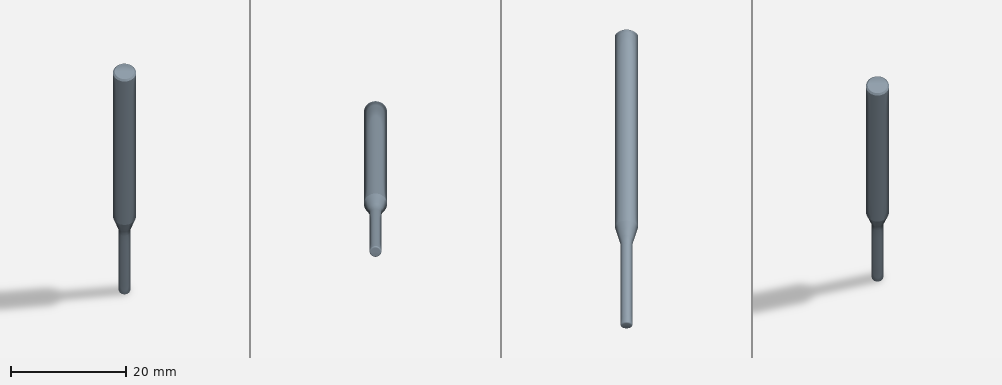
import cadquery as cq

total_length = 60.0
shank_radius = 4.0 / 2
shank_chamfer = 0.3

neck_radius = 1.0
head_length = 1.55
corner_radius = 0.25

neck_top = 16.25
flare_radius = 1.3
flare_top = 17.9
cone_top = 20.4


def make_head():
    """Cutting head: a short cylinder with a rounded lower edge."""
    head = cq.Workplane("XY").circle(neck_radius).extrude(head_length)
    return head.faces("<Z").edges().fillet(corner_radius)


def make_shank():
    """Neck, curved flare, cone and chamfered shank, turned as one profile."""
    profile = (
        cq.Workplane("XZ")
        .moveTo(0, head_length)
        .lineTo(neck_radius, head_length)
        .lineTo(neck_radius, neck_top)
        .tangentArcPoint((flare_radius, flare_top), relative=False)
        .lineTo(shank_radius, cone_top)
        .lineTo(shank_radius, total_length - shank_chamfer)
        .lineTo(shank_radius - shank_chamfer, total_length)
        .lineTo(0, total_length)
        .close()
    )
    return profile.revolve(360, (0, 0, 0), (0, 1, 0))


head = make_head()
shank = make_shank()

result = cq.Compound.makeCompound([head.val(), shank.val()])